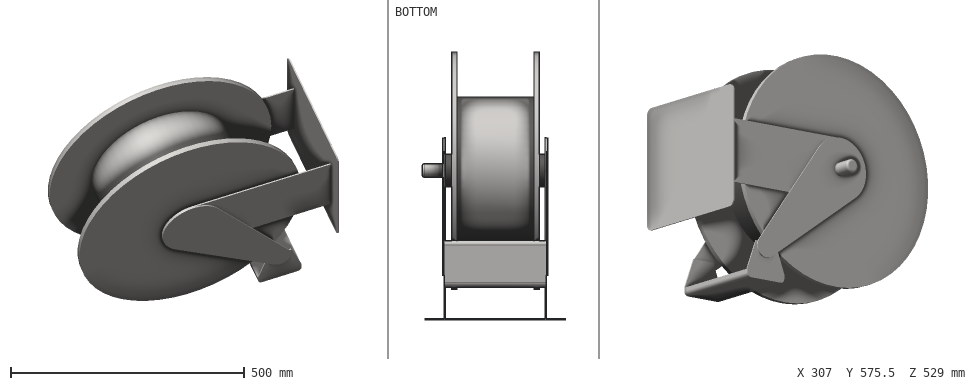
import cadquery as cq
import math


flange_radius = 255.0
flange_thickness = 11.5
drum_radius = 316.0 / 2
spool_width = 187.5
spool_offset = 0.5
hub_radius = 70.0 / 2

sheet = 3.0
frame_width = 219.0
support_radius = 70.0

overall_depth = 575.5
plate_width = 300.5
plate_height = 270.0
plate_corner_radius = 15.0
wall_y = overall_depth - flange_radius

lever_reach = 200.0
lever_tip_radius = 25.0

overall_height = 529.0
foot_width = 100.0
foot_side_height = 20.0
foot_corner_radius = 10.0
ear_top_width = 53.5
ear_top_z = -190.0
crossbar_height = 18.0
foot_bottom_z = flange_radius - overall_height

overall_width = 307.0
shaft_radius = 30.0 / 2
shaft_tip_fillet = 5.0

half_frame = frame_width / 2
inner_frame = half_frame - sheet


def side_plane(x):
    """YZ sketch plane at the given X, facing +X."""
    return cq.Workplane("YZ", origin=(x, 0, 0))


def cylinder(x_start, x_end, radius):
    return side_plane(x_start).circle(radius).extrude(x_end - x_start)


def make_spool():
    left = spool_offset - spool_width / 2
    right = left + spool_width
    spool = cylinder(left, right, drum_radius)
    for x in (left, right - flange_thickness):
        spool = spool.union(cylinder(x, x + flange_thickness, flange_radius))
    return spool.union(cylinder(-inner_frame, inner_frame, hub_radius))


def make_wall_plate():
    return (
        cq.Workplane("XY")
        .box(plate_width, sheet, plate_height)
        .edges("|Y")
        .fillet(plate_corner_radius)
        .translate((0, wall_y - sheet / 2, 0))
    )


def make_support(x):
    """Flat arm from the wall plate, with a round end about the spool axis."""
    return (
        side_plane(x)
        .moveTo(wall_y - sheet, support_radius)
        .lineTo(0, support_radius)
        .threePointArc((-support_radius, 0), (0, -support_radius))
        .lineTo(wall_y - sheet, -support_radius)
        .close()
        .extrude(sheet)
    )


def make_lever(x):
    """Tapered lever: two round ends joined by their common tangent lines."""
    center_distance = math.hypot(lever_reach, lever_reach)
    lever_angle = math.radians(-45)
    tangent_angle = math.acos((support_radius - lever_tip_radius) / center_distance)
    upper = lever_angle + tangent_angle
    lower = lever_angle - tangent_angle

    def big_end(angle):
        return (support_radius * math.cos(angle), support_radius * math.sin(angle))

    def tip(angle):
        return (
            lever_reach + lever_tip_radius * math.cos(angle),
            -lever_reach + lever_tip_radius * math.sin(angle),
        )

    return (
        side_plane(x)
        .moveTo(*big_end(upper))
        .lineTo(*tip(upper))
        .threePointArc(tip(lever_angle), tip(lower))
        .lineTo(*big_end(lower))
        .threePointArc(big_end(lever_angle + math.pi), big_end(upper))
        .close()
        .extrude(sheet)
    )


def make_foot():
    """Two tapered ears joined across the bottom by a solid crossbar."""
    half_foot = foot_width / 2
    half_top = ear_top_width / 2
    shoulder_z = foot_bottom_z + foot_side_height
    outline = [
        (lever_reach - half_foot, foot_bottom_z),
        (lever_reach + half_foot, foot_bottom_z),
        (lever_reach + half_foot, shoulder_z),
        (lever_reach + half_top, ear_top_z),
        (lever_reach - half_top, ear_top_z),
        (lever_reach - half_foot, shoulder_z),
    ]
    foot = side_plane(-half_frame).polyline(outline).close().extrude(frame_width)
    foot = foot.edges("|X and <Z").fillet(foot_corner_radius)
    gap_bottom_z = foot_bottom_z + crossbar_height
    gap_height = ear_top_z - gap_bottom_z
    gap = (
        cq.Workplane("XY", origin=(0, lever_reach, gap_bottom_z))
        .rect(2 * inner_frame, foot_width)
        .extrude(gap_height)
    )
    return foot.cut(gap)


def make_shaft():
    shaft_end = plate_width / 2 - overall_width
    shaft = cylinder(shaft_end, -inner_frame, shaft_radius)
    return shaft.faces("<X").edges().fillet(shaft_tip_fillet)


result = make_spool().union(make_wall_plate()).union(make_foot()).union(make_shaft())
for support_x in (-half_frame, inner_frame):
    result = result.union(make_support(support_x))
for lever_x in (-half_frame - sheet, half_frame):
    result = result.union(make_lever(lever_x))